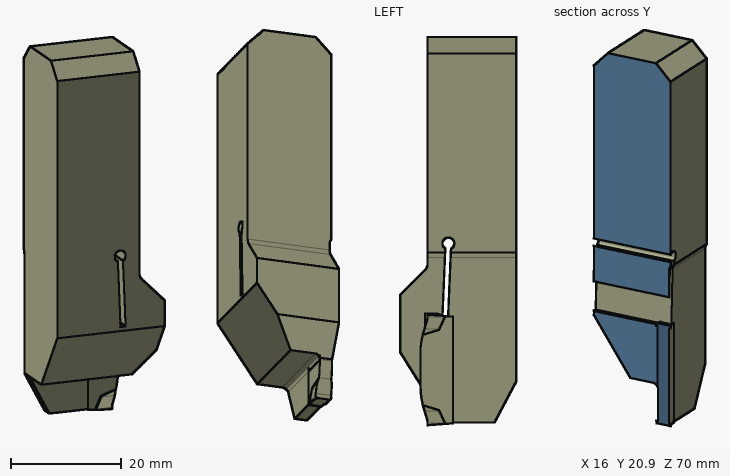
import cadquery as cq
import math


TOTAL_HEIGHT = 70.0
SHANK_SIZE = 16.0
TOP_CHAMFER = 3.0

SIDE_STEP = 0.3
STEP_RADIUS = 1.5
STEP_Z = 30.25
HEAD_BOTTOM_Z = 7.9
HEAD_BOTTOM_X = 8.4
FAR_SLOPE_TOP_Z = 18.7
BLADE_FILLET = 1.0

JAW_Y = 20.9
JAW_TOP_Z = 23.5
JAW_BOTTOM_Z = 13.15
JAW_END_Y = 17.3
JAW_END_Z = 7.35
NECK_FILLET = 1.5
BLADE_BOTTOM_Z = 0.5
BLADE_BOTTOM_Y = 3.9

INSERT_LENGTH = 19.95
INSERT_MID_Z = INSERT_LENGTH / 2
PLATE_THICKNESS = 2.4
PLATE_END_X = SIDE_STEP + PLATE_THICKNESS
TIP_WIDTH = 3.0
TIP_TAPER = 0.1
TIP_SHOULDER_Z = 2.6
TIP_END_Z = 3.65
NOSE_RADIUS = 0.4
SEAT_Y = 11.4
CUTTING_EDGE_Y = 16.0
CUTTING_LAND = 0.85
RAKE_END_Y = 16.9
INSERT_TOP_Y = 17.3
FLANK_RISE = 0.35
CROWN_START_Z = 7.0
TIP_SIDE_CORNER = (13.9, 2.7)
TIP_SIDE_END_Y = 12.9

SLIT_WIDTH = 1.0
SLIT_HOLE_RADIUS = 1.05
SLIT_TOP = (12.25, 32.75)
SLIT_BOTTOM = (12.8, 19.45)
CLEARANCE_Y = 16.45
CLEARANCE_TOP_Z = 20.15
CLEARANCE_TOP_START_Y = 14.35
CLEARANCE_FOOT_Z = 17.5


def other_end(z):
    """Height mirrored about the middle of the insert."""
    return 2 * INSERT_MID_Z - z


def prism_along_x(points, width):
    """Prism from X = 0 to X = width with an outline of (Y, Z) points."""
    return cq.Workplane("YZ").polyline(points).close().extrude(width)


def insert_side_profile():
    """Insert blank: end flanks, rake faces and crowned clamped edge."""
    drop = INSERT_TOP_Y - RAKE_END_Y
    run = CROWN_START_Z - TIP_END_Z
    crown_radius = (run**2 + drop**2) / (2 * drop)
    half_angle = math.asin(run / crown_radius) / 2
    mid_y = INSERT_TOP_Y - crown_radius * (1 - math.cos(half_angle))
    mid_z = CROWN_START_Z - crown_radius * math.sin(half_angle)
    return (
        cq.Workplane("YZ")
        .moveTo(SEAT_Y, FLANK_RISE)
        .lineTo(CUTTING_EDGE_Y, 0)
        .lineTo(CUTTING_EDGE_Y, CUTTING_LAND)
        .lineTo(RAKE_END_Y, TIP_END_Z)
        .threePointArc((mid_y, mid_z), (INSERT_TOP_Y, CROWN_START_Z))
        .lineTo(INSERT_TOP_Y, other_end(CROWN_START_Z))
        .threePointArc((mid_y, other_end(mid_z)), (RAKE_END_Y, other_end(TIP_END_Z)))
        .lineTo(CUTTING_EDGE_Y, other_end(CUTTING_LAND))
        .lineTo(CUTTING_EDGE_Y, INSERT_LENGTH)
        .lineTo(SEAT_Y, other_end(FLANK_RISE))
        .close()
        .extrude(TIP_WIDTH)
    )


def insert_width_envelope():
    """Waisted outline across the insert: wide rounded tips and a thinner middle."""
    right_shoulder_x = TIP_WIDTH - TIP_TAPER
    points = [
        (0, 0),
        (TIP_WIDTH, 0),
        (right_shoulder_x, TIP_SHOULDER_Z),
        (PLATE_END_X, TIP_END_Z),
        (PLATE_END_X, other_end(TIP_END_Z)),
        (right_shoulder_x, other_end(TIP_SHOULDER_Z)),
        (TIP_WIDTH, INSERT_LENGTH),
        (0, INSERT_LENGTH),
        (TIP_TAPER, other_end(TIP_SHOULDER_Z)),
        (SIDE_STEP, other_end(TIP_END_Z)),
        (SIDE_STEP, TIP_END_Z),
        (TIP_TAPER, TIP_SHOULDER_Z),
    ]
    envelope = cq.Workplane("XZ").polyline(points).close().extrude(-JAW_Y)
    return envelope.edges("|Y and (<Z or >Z)").fillet(NOSE_RADIUS)


def make_insert():
    """Double-ended cutting insert: a thin plate with a wider tip at each end."""
    blank = insert_side_profile().intersect(insert_width_envelope())
    plate_slab = cq.Workplane("XY").box(
        PLATE_THICKNESS, JAW_Y, INSERT_LENGTH, centered=False
    ).translate((SIDE_STEP, 0, 0))
    insert = blank.intersect(plate_slab)

    lower_tip_side = [
        (TIP_SIDE_END_Y, 0),
        (JAW_Y, 0),
        (JAW_Y, TIP_END_Z),
        (RAKE_END_Y, TIP_END_Z),
        TIP_SIDE_CORNER,
        (TIP_SIDE_END_Y, NOSE_RADIUS),
    ]
    upper_tip_side = [(y, other_end(z)) for y, z in lower_tip_side]
    for tip_side in (lower_tip_side, upper_tip_side):
        insert = insert.union(blank.intersect(prism_along_x(tip_side, TIP_WIDTH)))
    return insert


def holder_side_profile():
    """Shank, clamping jaw and blade as they run along Y and Z, across the full width."""
    jaw_slope_top_z = JAW_TOP_Z + JAW_Y - SHANK_SIZE
    points = [
        (0, HEAD_BOTTOM_Z),
        (BLADE_BOTTOM_Y, BLADE_BOTTOM_Z),
        (SEAT_Y, BLADE_BOTTOM_Z),
        (JAW_END_Y, JAW_END_Z),
        (JAW_Y, JAW_BOTTOM_Z),
        (JAW_Y, JAW_TOP_Z),
        (SHANK_SIZE, jaw_slope_top_z),
        (SHANK_SIZE, TOTAL_HEIGHT),
        (0, TOTAL_HEIGHT),
    ]
    neck = cq.selectors.NearestToPointSelector((SHANK_SIZE / 2, SHANK_SIZE, jaw_slope_top_z))
    return prism_along_x(points, SHANK_SIZE).edges("|X").edges(neck).fillet(NECK_FILLET)


def holder_width_outline():
    """Shank, head and thin blade as they run along X and Z, through the full depth."""
    step_angle = math.acos(1 - SIDE_STEP / STEP_RADIUS)
    step_center_x = SIDE_STEP - STEP_RADIUS
    step_mid = (
        step_center_x + STEP_RADIUS * math.cos(step_angle / 2),
        STEP_Z + STEP_RADIUS * math.sin(step_angle / 2),
    )
    step_top_z = STEP_Z + STEP_RADIUS * math.sin(step_angle)
    fillet_end = (PLATE_END_X + BLADE_FILLET, HEAD_BOTTOM_Z)
    return (
        cq.Workplane("XZ")
        .moveTo(SIDE_STEP, 0)
        .lineTo(PLATE_END_X, 0)
        .lineTo(PLATE_END_X, HEAD_BOTTOM_Z - BLADE_FILLET)
        .tangentArcPoint(fillet_end, relative=False)
        .lineTo(HEAD_BOTTOM_X, HEAD_BOTTOM_Z)
        .lineTo(SHANK_SIZE, FAR_SLOPE_TOP_Z)
        .lineTo(SHANK_SIZE, TOTAL_HEIGHT - TOP_CHAMFER)
        .lineTo(SHANK_SIZE - TOP_CHAMFER, TOTAL_HEIGHT)
        .lineTo(TOP_CHAMFER, TOTAL_HEIGHT)
        .lineTo(0, TOTAL_HEIGHT - TOP_CHAMFER)
        .lineTo(0, step_top_z)
        .threePointArc(step_mid, (SIDE_STEP, STEP_Z))
        .close()
        .extrude(-JAW_Y)
    )


def clamping_slit():
    """Slightly tilted slit through the head, ending in a round relief hole."""
    dy = SLIT_BOTTOM[0] - SLIT_TOP[0]
    dz = SLIT_BOTTOM[1] - SLIT_TOP[1]
    length = math.hypot(dy, dz)
    side_y = -dz / length * SLIT_WIDTH / 2
    side_z = dy / length * SLIT_WIDTH / 2
    points = [
        (SLIT_TOP[0] - side_y, SLIT_TOP[1] - side_z),
        (SLIT_TOP[0] + side_y, SLIT_TOP[1] + side_z),
        (SLIT_BOTTOM[0] + side_y, SLIT_BOTTOM[1] + side_z),
        (SLIT_BOTTOM[0] - side_y, SLIT_BOTTOM[1] - side_z),
    ]
    hole = cq.Workplane("YZ").center(*SLIT_TOP).circle(SLIT_HOLE_RADIUS).extrude(SHANK_SIZE)
    return prism_along_x(points, SHANK_SIZE).union(hole)


def tip_clearance():
    """Blind relief that keeps the jaw off the unused upper tip."""
    points = [
        (TIP_SIDE_END_Y, other_end(FLANK_RISE)),
        (CLEARANCE_Y, CLEARANCE_FOOT_Z),
        (CLEARANCE_Y, CLEARANCE_TOP_Z),
        (CLEARANCE_TOP_START_Y, CLEARANCE_TOP_Z),
    ]
    return prism_along_x(points, TIP_WIDTH)


def make_holder(insert):
    """Shank and head with a blind pocket that matches the insert."""
    holder = holder_side_profile().intersect(holder_width_outline())
    return holder.cut(clamping_slit()).cut(tip_clearance()).cut(insert)


insert = make_insert()
holder = make_holder(insert)

result = cq.Compound.makeCompound([holder.solids().val(), insert.solids().val()])